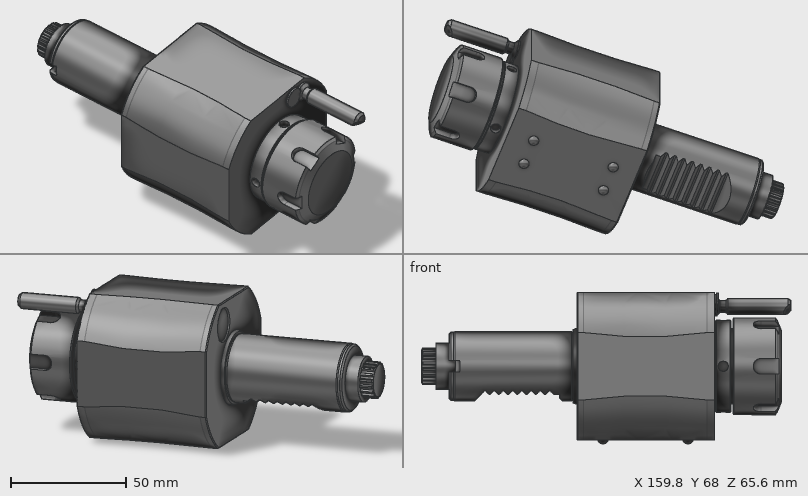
import cadquery as cq
import math


body_length = 59.7
body_width = 68.0
body_height = 64.0
corner_radius = 37.0
waist_radius = 36.3
waist_start = 2.9
waist_end = 56.3
body_edge_chamfer = 0.45
plug_radius = 7.6
plug_recess = 0.7
plug_taper = 0.4
plug_y = 12.4
plug_z = 21.8

foot_height = 1.6
foot_base_radius = 2.25
foot_x_positions = (11.3, 48.1)
foot_y_offset = 6.0

shank_length = 55.3
shank_radius = 15.0
pilot_radius = 14.8
pilot_length = 1.8
pilot_taper = 0.6
shank_chamfer = 0.8
relief_start = 2.4
relief_depth = 0.3
collar_start_radius = 15.9
collar_end_radius = 16.5
collar_length = 1.6

tooth_pitch = 4.0
tooth_count = 7
tooth_root_flat = 0.8
rack_root_z = -10.8
rack_tip_z = -12.3
rack_first_root_x = -39.8
rack_land_end_x = -7.5
rack_corner_chamfer = 1.3

slot_width = 5.0
slot_depth = 2.8
slot_step_depth = 4.6
slot_step_radius = 12.9
slot_corner_radius = 0.5

spindle_radius = 10.0
spindle_length = 5.8
spline_length = 6.1
spline_outer_radius = 8.0
spline_root_radius = 7.1
spline_teeth = 18
spline_chamfer = 0.5
spline_tip_fraction = 0.3
spline_root_fraction = 0.6

ring_start = 60.1
ring_end = 66.7
ring_radius = 20.0
ring_chamfer = 0.3
ring_hole_radius = 2.2
ring_hole_depth = 3.0
ring_hole_count = 4
neck_radius = 16.3
nut_start = 67.6
nut_end = 88.7
nut_radius = 21.0
nut_back_chamfer = 0.5
nut_shoulder_x = 86.0
nut_front_x = 86.9
nut_front_radius = 19.6
nut_tip_radius = 15.2
wrench_slot_count = 6
wrench_slot_width = 6.7
wrench_slot_start = 76.4
wrench_slot_floor = 18.0

pipe_y = 16.8
pipe_z = 25.9
pipe_end = 92.63
pipe_radius = 3.55
pipe_tip_radius = 2.6
pipe_tip_length = 1.3
pipe_neck_radius = 2.6
pipe_neck_start = 61.9
pipe_neck_end = 64.5
pipe_body_start = 65.5
pipe_ball_radius = 4.1
pipe_ball_end = 60.6
facet_start = 89.4
outlet_radius = 0.6
outlet_depth = 2.0
disc_y = 9.8
disc_z = 27.3
disc_radius = 4.5
disc_foot_radius = 3.8
disc_foot_end = 60.4
disc_end = 61.3

overlap = 0.5
clearance = 5.0


def turned(profile):
    """Solid of revolution about X from (x, radius) points, closed along the axis."""
    start_x = profile[0][0]
    end_x = profile[-1][0]
    outline = [(start_x, 0)] + profile + [(end_x, 0)]
    return cq.Workplane("XY").polyline(outline).close().revolve(360, (0, 0, 0), (1, 0, 0))


def cylinder_x(start_x, end_x, radius, y=0.0, z=0.0):
    return cq.Workplane("YZ", origin=(start_x, y, z)).circle(radius).extrude(end_x - start_x)


def make_body():
    block = (
        cq.Workplane("XY")
        .box(body_length, body_width, body_height, centered=(False, True, True))
        .faces("<X")
        .chamfer(body_edge_chamfer)
    )
    waist_mid = (waist_start + waist_end) / 2
    corner_envelope = (
        cq.Workplane("XY")
        .moveTo(0, 0)
        .lineTo(0, corner_radius - body_edge_chamfer)
        .lineTo(body_edge_chamfer, corner_radius)
        .lineTo(waist_start, corner_radius)
        .threePointArc((waist_mid, waist_radius), (waist_end, corner_radius))
        .lineTo(body_length, corner_radius)
        .lineTo(body_length, 0)
        .close()
        .revolve(360, (0, 0, 0), (1, 0, 0))
    )
    recess = (
        cq.Workplane("YZ", origin=(0, plug_y, plug_z))
        .circle(plug_radius)
        .workplane(offset=plug_recess)
        .circle(plug_radius - plug_taper)
        .loft()
    )
    return block.intersect(corner_envelope).cut(recess)


def make_feet():
    centres = [(x, y) for x in foot_x_positions for y in (-foot_y_offset, foot_y_offset)]
    bottom_z = -body_height / 2
    dome_radius = (foot_base_radius**2 + foot_height**2) / (2 * foot_height)
    foot = cq.Workplane("XY").sphere(dome_radius)
    centre_z = bottom_z - foot_height + dome_radius
    feet = cq.Workplane("XY")
    for x, y in centres:
        feet = feet.add(foot.translate((x, y, centre_z)))
    return feet.combine()


def make_shank():
    shank_end = -shank_length
    blank = turned([
        (shank_end, pilot_radius - shank_chamfer),
        (shank_end + shank_chamfer, pilot_radius),
        (shank_end + pilot_length, pilot_radius),
        (shank_end + pilot_length + pilot_taper, shank_radius),
        (-relief_start, shank_radius),
        (-collar_length, shank_radius - relief_depth),
        (-collar_length, collar_start_radius),
        (0, collar_end_radius),
        (overlap, collar_end_radius),
    ])
    return blank.cut(make_rack_cutter()).cut(make_drive_slot_cutter())


def make_rack_cutter():
    """Removes the flat and the tooth gaps below the rack profile."""
    bottom_z = -shank_radius
    half_flat = tooth_root_flat / 2
    ramp_run = rack_root_z - bottom_z
    ramp_start_x = rack_first_root_x - half_flat - ramp_run
    outline = [(ramp_start_x - clearance, bottom_z - clearance)]
    for i in range(tooth_count + 1):
        root_x = rack_first_root_x + i * tooth_pitch
        outline.append((root_x - half_flat, rack_root_z))
        outline.append((root_x + half_flat, rack_root_z))
        if i < tooth_count:
            outline.append((root_x + tooth_pitch / 2, rack_tip_z))
    last_flank_x = rack_first_root_x + tooth_count * tooth_pitch + tooth_pitch / 2
    outline += [
        (last_flank_x, rack_tip_z),
        (rack_land_end_x, rack_tip_z),
        (rack_land_end_x, bottom_z + rack_corner_chamfer),
        (rack_land_end_x + rack_corner_chamfer, bottom_z),
        (rack_land_end_x + rack_corner_chamfer, bottom_z - clearance),
    ]
    return cq.Workplane("XZ").polyline(outline).close().extrude(shank_radius, both=True)


def make_drive_slot_cutter():
    """Stepped slot in the -Y side of the shank end; the spindle later refills its middle."""
    def slot(depth, inner_radius):
        cutter = cq.Workplane("XY").box(
            depth, shank_radius, slot_width, centered=(False, False, True)
        )
        cutter = cutter.faces(">X").edges("|Y").fillet(slot_corner_radius)
        return cutter.translate((-shank_length, -shank_radius - inner_radius, 0))

    return slot(slot_depth, 0).union(slot(slot_step_depth, slot_step_radius))


def make_spindle():
    spindle_start = -shank_length - spindle_length
    spindle = cylinder_x(spindle_start, 0, spindle_radius)
    return spindle.union(make_spline(spindle_start))


def make_spline(spindle_start):
    pitch_angle = 2 * math.pi / spline_teeth
    outline = []
    for i in range(spline_teeth):
        tooth_angle = math.pi / 2 + i * pitch_angle
        half_tip = spline_tip_fraction * pitch_angle / 2
        half_root = spline_root_fraction * pitch_angle / 2
        for radius, angle in (
            (spline_root_radius, tooth_angle - half_root),
            (spline_outer_radius, tooth_angle - half_tip),
            (spline_outer_radius, tooth_angle + half_tip),
            (spline_root_radius, tooth_angle + half_root),
        ):
            outline.append((radius * math.cos(angle), radius * math.sin(angle)))
    start_x = spindle_start - spline_length
    end_x = spindle_start + overlap
    toothed_bar = (
        cq.Workplane("YZ", origin=(start_x, 0, 0)).polyline(outline).close().extrude(end_x - start_x)
    )
    envelope = turned([
        (start_x, spline_root_radius),
        (start_x + spline_chamfer, spline_outer_radius),
        (end_x, spline_outer_radius),
    ])
    return toothed_bar.intersect(envelope)


def make_clamping_ring():
    ring = turned([
        (ring_start, ring_radius - ring_chamfer),
        (ring_start + ring_chamfer, ring_radius),
        (ring_end - ring_chamfer, ring_radius),
        (ring_end, ring_radius - ring_chamfer),
    ])
    hole_x = (ring_start + ring_end) / 2
    hole = cq.Workplane("XY", origin=(hole_x, 0, ring_radius - ring_hole_depth)).circle(
        ring_hole_radius
    ).extrude(ring_hole_depth + clearance)
    for i in range(ring_hole_count):
        ring = ring.cut(hole.rotate((0, 0, 0), (1, 0, 0), i * 360 / ring_hole_count))
    neck = cylinder_x(body_length - overlap, nut_start + overlap, neck_radius)
    return ring.union(neck)


def make_nut():
    nut = turned([
        (nut_start, nut_radius - nut_back_chamfer),
        (nut_start + nut_back_chamfer, nut_radius),
        (nut_shoulder_x, nut_radius),
        (nut_front_x, nut_front_radius),
        (nut_end, nut_tip_radius),
    ])
    half_width = wrench_slot_width / 2
    slot_open_end = nut_end + clearance
    slot = (
        cq.Workplane("XZ", origin=(0, -wrench_slot_floor, 0))
        .moveTo(slot_open_end, -half_width)
        .lineTo(wrench_slot_start + half_width, -half_width)
        .threePointArc((wrench_slot_start, 0), (wrench_slot_start + half_width, half_width))
        .lineTo(slot_open_end, half_width)
        .close()
        .extrude(clearance)
    )
    for i in range(wrench_slot_count):
        nut = nut.cut(slot.rotate((0, 0, 0), (1, 0, 0), i * 360 / wrench_slot_count))
    return nut


def make_coolant_pipe():
    pipe = turned([
        (body_length - overlap, pipe_ball_radius),
        (pipe_ball_end, pipe_ball_radius),
        (pipe_neck_start, pipe_neck_radius),
        (pipe_neck_end, pipe_neck_radius),
        (pipe_body_start, pipe_radius),
        (pipe_end - pipe_tip_length, pipe_radius),
        (pipe_end, pipe_tip_radius),
    ])
    facet_run = 2 * pipe_radius
    facet_cutter = (
        cq.Workplane("XZ")
        .polyline([
            (facet_start, -pipe_radius),
            (facet_start + facet_run, -pipe_radius + facet_run),
            (facet_start + facet_run, -pipe_radius),
        ])
        .close()
        .extrude(pipe_radius, both=True)
    )
    facet_half = (pipe_end - facet_start) / 2
    outlet_plane = cq.Plane(
        origin=(facet_start + facet_half, 0, -pipe_radius + facet_half),
        xDir=(0, 1, 0),
        normal=(-1, 0, 1),
    )
    outlet = cq.Workplane(outlet_plane).circle(outlet_radius).extrude(outlet_depth)
    pipe = pipe.cut(facet_cutter).cut(outlet)
    angle_to_axis = -math.degrees(math.atan2(pipe_y, pipe_z))
    return pipe.rotate((0, 0, 0), (1, 0, 0), angle_to_axis).translate((0, pipe_y, pipe_z))


def make_retaining_disc():
    foot = cylinder_x(body_length - overlap, disc_end, disc_foot_radius, disc_y, disc_z)
    head = cylinder_x(disc_foot_end, disc_end, disc_radius, disc_y, disc_z)
    return foot.union(head)


result = (
    make_body()
    .union(make_feet())
    .union(make_shank())
    .union(make_spindle())
    .union(make_clamping_ring())
    .union(make_nut())
    .union(make_coolant_pipe())
    .union(make_retaining_disc())
)